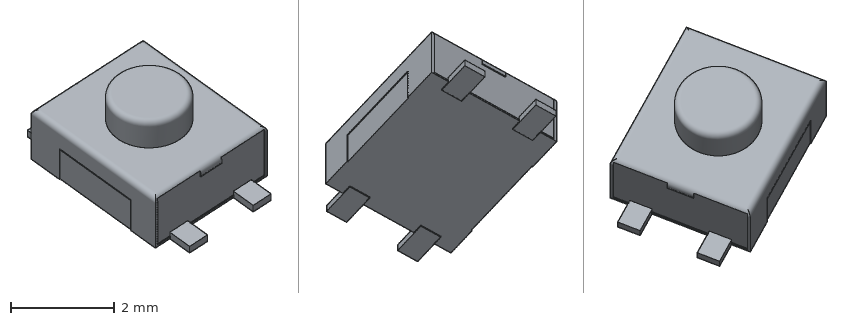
import cadquery as cq

total_length = 4.57
total_height = 2.01

body_length = 3.5
body_width = 3.0
body_bottom = 0.03
body_top = 1.335
body_edge_radius = 0.125

button_diameter = 1.7
button_edge_radius = 0.125

lead_length = 0.77
lead_width = 0.48
lead_thickness = 0.175
lead_pitch = 1.7

end_recess_depth = 0.025
end_recess_width = 2.865
end_recess_bottom = 0.078
tab_width = 0.56
tab_bottom = 1.14

side_recess_depth = 0.02
side_recess_length = 2.0
side_recess_top = 0.823
side_recess_offset = 0.045


def block(size_x, size_y, bottom, top, center_x=0.0, center_y=0.0):
    """Box centred at (center_x, center_y), spanning bottom to top in Z."""
    base = cq.Workplane("XY", origin=(center_x, center_y, bottom))
    return base.rect(size_x, size_y).extrude(top - bottom)


def make_housing():
    housing = block(body_length, body_width, body_bottom, body_top)
    return housing.faces(">Z").edges().fillet(body_edge_radius)


def make_end_recess(side):
    """Cutter for the end face at +X (side = 1) or -X (side = -1)."""
    center_x = side * (body_length - end_recess_depth) / 2
    recess = block(end_recess_depth, end_recess_width, end_recess_bottom, body_top, center_x)
    tab = block(end_recess_depth, tab_width, tab_bottom, body_top, center_x)
    return recess.cut(tab)


def make_side_recess(side):
    """Cutter for the long face at +Y (side = 1) or -Y (side = -1)."""
    center_y = side * (body_width - side_recess_depth) / 2
    return block(
        side_recess_length,
        side_recess_depth,
        body_bottom,
        side_recess_top,
        side_recess_offset,
        center_y,
    )


def make_button():
    button = cq.Workplane("XY", origin=(0, 0, body_top))
    button = button.circle(button_diameter / 2).extrude(total_height - body_top)
    return button.faces(">Z").edges().fillet(button_edge_radius)


def make_lead(side_x, side_y):
    center_x = side_x * (total_length - lead_length) / 2
    center_y = side_y * lead_pitch / 2
    return block(lead_length, lead_width, 0.0, lead_thickness, center_x, center_y)


result = make_housing()
for side in (-1, 1):
    result = result.cut(make_end_recess(side)).cut(make_side_recess(side))

result = result.union(make_button())
for side_x in (-1, 1):
    for side_y in (-1, 1):
        result = result.union(make_lead(side_x, side_y))